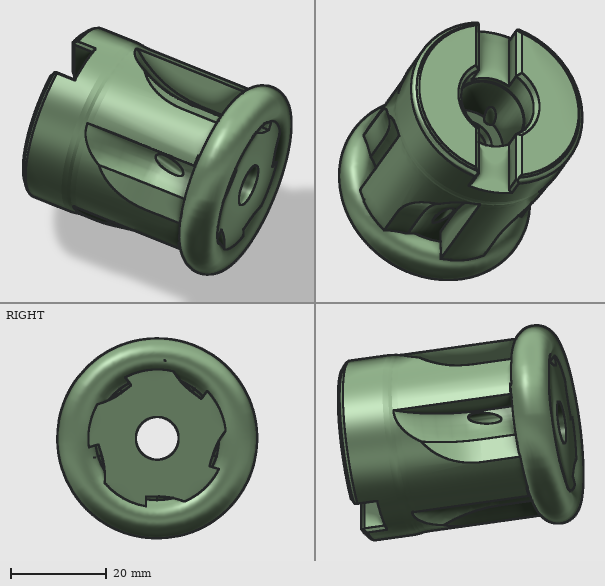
import cadquery as cq
import math

total_length = 45.05
rim_outer_radius = 21.0

rim_tube_radius = 4.0
rim_ring_radius = rim_outer_radius - rim_tube_radius
rim_center_x = total_length - rim_tube_radius

collar_radius = 19.05
collar_end_x = 9.9
neck_start_radius = 18.9
neck_start_x = 11.12
neck_end_radius = 18.8
neck_end_x = 11.85
body_radius = 18.75
body_start_x = 13.05
body_end_x = 44.15
face_radius = 17.7
face_round_length = 1.4
face_land_radius = 18.1
face_land_x = 0.5
face_round_mid_x = 0.75
face_round_mid_radius = 18.6

bore_entry_radius = 8.05
bore_entry_depth = 6.95
bore_radius = 7.9
bore_depth = 20.0
bolt_hole_radius = 4.45
edge_chamfer = 0.95
slot_width = 8.3
slot_depth = 5.6
slot_corner_chamfer = 0.68

flute_angles = (-17.0, 52.8, 127.0, 197.0, 270.0)
flute_root_height = 12.15
flute_floor_height = 14.0
flute_step_width = 7.3
flute_runout_radius = 25.75
flute_runout_x = 29.25
flute_clear_width = 20.25

seat_depth = 2.4
seat_start_x = 37.1

coolant_diameter = 2.55
coolant_start_height = 8.35
coolant_exit_x = 29.65
coolant_exit_offset = -1.8


def body_of_revolution():
    """Collar, tapered neck and cylindrical body around X."""
    outline = (
        cq.Workplane("XY")
        .moveTo(0, 0)
        .lineTo(0, face_radius)
        .lineTo(face_land_x, face_land_radius)
        .threePointArc((face_round_mid_x, face_round_mid_radius), (face_round_length, collar_radius))
        .lineTo(collar_end_x, collar_radius)
        .lineTo(neck_start_x, neck_start_radius)
        .lineTo(neck_end_x, neck_end_radius)
        .lineTo(body_start_x, body_radius)
        .lineTo(body_end_x, body_radius)
        .lineTo(body_end_x, 0)
        .close()
    )
    return outline.revolve(360, (0, 0, 0), (1, 0, 0))


def rim():
    """Ring of round section around the working end."""
    section = cq.Workplane("XY").center(rim_center_x, rim_ring_radius).circle(rim_tube_radius)
    return section.revolve(360, (0, -rim_ring_radius, 0), (1, -rim_ring_radius, 0))


def arbor_bore():
    """Stepped and chamfered bore with the bolt hole running out of the working end."""
    outline = (
        cq.Workplane("XY")
        .moveTo(0, 0)
        .lineTo(0, bore_entry_radius + edge_chamfer)
        .lineTo(edge_chamfer, bore_entry_radius)
        .lineTo(bore_entry_depth, bore_entry_radius)
        .lineTo(bore_entry_depth, bore_radius)
        .lineTo(bore_depth, bore_radius)
        .lineTo(bore_depth, bolt_hole_radius + edge_chamfer)
        .lineTo(bore_depth + edge_chamfer, bolt_hole_radius)
        .lineTo(total_length, bolt_hole_radius)
        .lineTo(total_length, 0)
        .close()
    )
    return outline.revolve(360, (0, 0, 0), (1, 0, 0))


def drive_slot():
    """Slot across the arbor face along Z, with chamfered mouth edges."""
    half = slot_width / 2
    outline = (
        cq.Workplane("XY")
        .moveTo(0, -half - edge_chamfer)
        .lineTo(edge_chamfer, -half)
        .lineTo(slot_depth, -half)
        .lineTo(slot_depth, half)
        .lineTo(edge_chamfer, half)
        .lineTo(0, half + edge_chamfer)
        .close()
    )
    slot = outline.extrude(rim_outer_radius, both=True)

    corner = half + slot_corner_chamfer
    flare_start = math.sqrt(collar_radius**2 - corner**2) - slot_corner_chamfer
    flare_end_width = half + rim_outer_radius - flare_start
    for side in (1, -1):
        flare = (
            cq.Workplane("YZ")
            .moveTo(-half, side * flare_start)
            .lineTo(half, side * flare_start)
            .lineTo(flare_end_width, side * rim_outer_radius)
            .lineTo(-flare_end_width, side * rim_outer_radius)
            .close()
            .extrude(slot_depth)
        )
        slot = slot.union(flare)
    return slot


def flute_section():
    """Flute section at the runout plane: radial wall on Y = 0, hollow root, flat floor."""
    rise = flute_floor_height - flute_root_height
    root_radius = (flute_step_width**2 + rise**2) / (2 * rise)
    half_angle = math.asin(flute_step_width / root_radius) / 2
    root_mid = (
        -root_radius * math.sin(half_angle),
        flute_root_height + root_radius * (1 - math.cos(half_angle)),
    )
    top = flute_root_height + flute_runout_radius
    return (
        cq.Workplane("YZ", origin=(flute_runout_x, 0, 0))
        .moveTo(0, flute_root_height)
        .threePointArc(root_mid, (-flute_step_width, flute_floor_height))
        .lineTo(-flute_clear_width, flute_floor_height)
        .lineTo(-flute_clear_width, top)
        .lineTo(0, top)
        .close()
    )


def flute():
    """Flute with its wall facing the +Z radial direction: arc runout, then straight to the end."""
    axis_height = flute_root_height + flute_runout_radius
    runout = flute_section().revolve(90, (0, axis_height, 0), (1, axis_height, 0))
    straight = flute_section().extrude(total_length - flute_runout_x)
    return runout.union(straight)


def insert_seat():
    """Step in the flute wall from the rim to the working end, level with the flute root."""
    return cq.Workplane("XY", origin=(seat_start_x, 0, flute_root_height)).box(
        total_length - seat_start_x, seat_depth, flute_runout_radius, centered=False
    )


def coolant_hole():
    """Slanted hole starting at the bore floor and breaking out in the flute root."""
    start = cq.Vector(bore_depth, 0, coolant_start_height)
    exit_point = cq.Vector(coolant_exit_x, coolant_exit_offset, flute_root_height)
    axis = exit_point - start
    overrun = axis.Length / 2
    hole_start = start - axis.normalized() * overrun
    hole_length = axis.Length + 2 * overrun
    return cq.Workplane(cq.Solid.makeCylinder(coolant_diameter / 2, hole_length, hole_start, axis))


def turned(shape, angle):
    """Turn a shape from the +Z radial direction to the given flute angle."""
    return shape.rotate((0, 0, 0), (1, 0, 0), 90 - angle)


body = body_of_revolution()
for angle in flute_angles:
    body = body.cut(turned(flute(), angle)).cut(turned(insert_seat(), angle))

body = body.union(rim()).cut(arbor_bore()).cut(drive_slot())
for angle in flute_angles:
    body = body.cut(turned(coolant_hole(), angle))

result = body